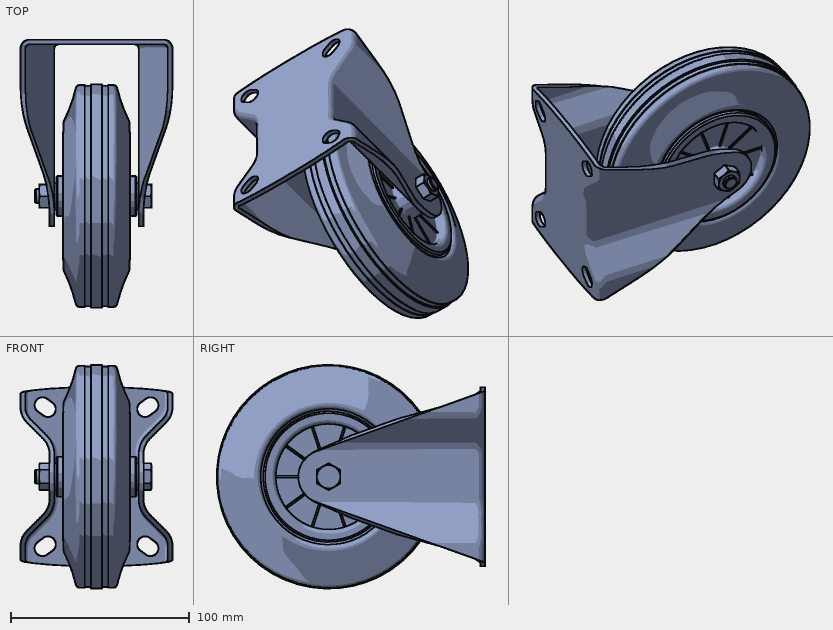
import cadquery as cq
import math


SHEET = 2.7
PLATE_HALF_WIDTH = 42.51
PLATE_HALF_HEIGHT = 50.01
PLATE_FLAT_HALF = 5.0
PLATE_CORNER_X = 36.0
PLATE_CORNER_Z = 48.3
PLATE_BACK_Y = 87.5
FORK_HALF_WIDTH = 26.2
BEND_START_Z = 33.9
WALL_BEND_RADIUS = 12.0
PLATE_BEND_RADIUS = 5.2
TIP_RADIUS = 15.0
TIP_CENTER_Y = -2.0
ARM_TAPER = 19.7
SLOT_WIDTH = 8.7
SLOT_LENGTH = 12.5
SLOT_X = 28.6
SLOT_Z = 38.8
SLOT_ANGLE = 36.0

WHEEL_RADIUS = 62.5
RIB_HALF = 3.0
GROOVE_INNER = 3.3
GROOVE_OUTER = 6.6
SHOULDER_END = 9.5
SHOULDER_DROP = 0.5
GROOVE_DROP = 0.9
HUB_RADIUS = 11.2
HUB_HALF = 22.5
HUB_CHAMFER = 0.7
RIM_HALF = 18.97
RIM_RADIUS = 36.52
RIM_CHAMFER = 1.0
RIM_BORE = 29.47
RIM_ROUND = 2.8
DISC_HALF = 13.5
DISC_ROUND = 0.7
SPOKES = 10
SPOKE_RADIUS = 0.52

SHOULDER_ARC_MIDDLE = (11.0, 61.3)
SIDEWALL_TOP = (11.7, 60.0)
SIDEWALL_MIDDLE = (14.7, 50.1)
SIDEWALL_FOOT = (18.0, 42.5)
LIP_CREST = (18.5, 40.5)
LIP_EDGE = (16.8, 38.0)
RIM_GROOVE_X = 15.9

BOLT_RADIUS = 3.97
BOLT_END = 34.3
BOLT_CHAMFER = 0.6
NUT_FLATS = 13.0
NUT_FACE = 32.1
HEAD_FACE = 30.7
SLEEVE_RADIUS = 6.07
COLLAR_RADIUS = 7.5


def fork_edge_z(y):
    """Height of the tapered straight edge of a fork arm at depth y."""
    taper = math.radians(ARM_TAPER)
    return TIP_RADIUS / math.cos(taper) + (y - TIP_CENTER_Y) * math.tan(taper)


def bent_block():
    """Solid block bounded by the outer faces of the bent sheet."""
    end_z = PLATE_HALF_HEIGHT
    waist_z = BEND_START_Z - (PLATE_HALF_WIDTH - FORK_HALF_WIDTH)
    right = [
        (PLATE_HALF_WIDTH, end_z), (PLATE_HALF_WIDTH, BEND_START_Z), (FORK_HALF_WIDTH, waist_z),
        (FORK_HALF_WIDTH, -waist_z), (PLATE_HALF_WIDTH, -BEND_START_Z), (PLATE_HALF_WIDTH, -end_z),
    ]
    left = [(-x, z) for x, z in reversed(right)]
    block = (
        cq.Workplane("XZ", origin=(0, PLATE_BACK_Y, 0))
        .polyline(right + left).close().extrude(PLATE_BACK_Y - TIP_CENTER_Y + TIP_RADIUS)
    )
    bend_box = cq.selectors.BoxSelector(
        (-PLATE_HALF_WIDTH - 1.5, -PLATE_BACK_Y, -BEND_START_Z - 1.5),
        (PLATE_HALF_WIDTH + 1.5, PLATE_BACK_Y, BEND_START_Z + 1.5),
    )
    block = block.edges("|Y").edges(bend_box).fillet(WALL_BEND_RADIUS)
    return block.faces(">Y").edges("not |X").fillet(PLATE_BEND_RADIUS)


def fork_side_prism():
    """Side outline of the fork: two tapered edges running into a round tip."""
    taper = math.radians(ARM_TAPER)
    tangent_y = TIP_CENTER_Y - TIP_RADIUS * math.sin(taper)
    tangent_z = TIP_RADIUS * math.cos(taper)
    back_z = fork_edge_z(PLATE_BACK_Y)
    return (
        cq.Workplane("YZ").moveTo(PLATE_BACK_Y, -back_z).lineTo(PLATE_BACK_Y, back_z)
        .lineTo(tangent_y, tangent_z)
        .threePointArc((TIP_CENTER_Y - TIP_RADIUS, 0), (tangent_y, -tangent_z))
        .close().extrude(PLATE_HALF_WIDTH + 1.5, both=True)
    )


def bent_sheet():
    """Back strip, bends and both arms, with edges cut square to the sheet."""
    block = bent_block().intersect(fork_side_prism())
    arm_faces = [face for face in block.faces().vals() if abs(face.Center().x) > FORK_HALF_WIDTH / 2]
    skin = cq.Shell.makeShell(arm_faces + block.faces(">Y").vals())
    return cq.Workplane(cq.occ_impl.shapes.offset(skin, -SHEET))


def mounting_plate():
    """Bowed strips that complete the plate along its upper and lower edges."""
    corner_drop = PLATE_HALF_HEIGHT - PLATE_CORNER_Z
    arc_middle_x = (PLATE_FLAT_HALF + PLATE_CORNER_X) / 2
    arc_middle_z = PLATE_HALF_HEIGHT - corner_drop / 4
    bend_x = PLATE_HALF_WIDTH - PLATE_BEND_RADIUS
    bend_z = fork_edge_z(PLATE_BACK_Y)
    quarter = (
        cq.Workplane("XZ", origin=(0, PLATE_BACK_Y, 0)).moveTo(0, bend_z).lineTo(0, PLATE_HALF_HEIGHT)
        .lineTo(PLATE_FLAT_HALF, PLATE_HALF_HEIGHT)
        .threePointArc((arc_middle_x, arc_middle_z), (PLATE_CORNER_X, PLATE_CORNER_Z))
        .lineTo(bend_x, bend_z).close().extrude(SHEET)
    )
    half = quarter.union(quarter.mirror("YZ"))
    return half.union(half.mirror("XY"))


def slot(x_side, z_side):
    """Cutter for one mounting slot, its long axis pointing towards the middle of the plate."""
    return (
        cq.Workplane("XZ", origin=(x_side * SLOT_X, PLATE_BACK_Y, z_side * SLOT_Z))
        .transformed(rotate=(0, 0, x_side * z_side * SLOT_ANGLE))
        .slot2D(SLOT_LENGTH, SLOT_WIDTH).extrude(SHEET)
    )


def x_cylinder(radius, start, end):
    return cq.Workplane("YZ", origin=(start, 0, 0)).circle(radius).extrude(end - start)


def make_bracket():
    bracket = bent_sheet().union(mounting_plate())
    for x_side in (-1, 1):
        for z_side in (-1, 1):
            bracket = bracket.cut(slot(x_side, z_side))
    return bracket.cut(x_cylinder(BOLT_RADIUS, -FORK_HALF_WIDTH, FORK_HALF_WIDTH))


def wheel_half_outline():
    """Right half of the wheel's cross-section as an open wire, from the tread rib to the bore."""
    shoulder = WHEEL_RADIUS - SHOULDER_DROP
    groove = WHEEL_RADIUS - GROOVE_DROP
    return (
        cq.Workplane("XY").moveTo(RIB_HALF, WHEEL_RADIUS).lineTo(GROOVE_INNER, groove)
        .lineTo(GROOVE_OUTER, groove).lineTo(GROOVE_OUTER, shoulder)
        .lineTo(SHOULDER_END, shoulder)
        .threePointArc(SHOULDER_ARC_MIDDLE, SIDEWALL_TOP)
        .threePointArc(SIDEWALL_MIDDLE, SIDEWALL_FOOT)
        .threePointArc(LIP_CREST, LIP_EDGE)
        .lineTo(RIM_GROOVE_X, RIM_RADIUS).lineTo(RIM_HALF - RIM_CHAMFER, RIM_RADIUS)
        .lineTo(RIM_HALF, RIM_RADIUS - RIM_CHAMFER).lineTo(RIM_HALF, RIM_BORE + RIM_ROUND)
        .radiusArc((RIM_HALF - RIM_ROUND, RIM_BORE), RIM_ROUND)
        .lineTo(DISC_HALF + DISC_ROUND, RIM_BORE)
        .radiusArc((DISC_HALF, RIM_BORE - DISC_ROUND), -DISC_ROUND)
        .lineTo(DISC_HALF, HUB_RADIUS + DISC_ROUND)
        .radiusArc((DISC_HALF + DISC_ROUND, HUB_RADIUS), -DISC_ROUND)
        .lineTo(HUB_HALF - HUB_CHAMFER, HUB_RADIUS)
        .lineTo(HUB_HALF, HUB_RADIUS - HUB_CHAMFER).lineTo(HUB_HALF, SLEEVE_RADIUS)
        .wire().val()
    )


def wheel_body():
    """Tyre, rim, disc and hub as one turned shape around X."""
    right = wheel_half_outline()
    left = right.mirror("YZ")
    tread = cq.Edge.makeLine(left.startPoint(), right.startPoint())
    bore = cq.Edge.makeLine(right.endPoint(), left.endPoint())
    outline = cq.Wire.assembleEdges([tread, *right.Edges(), bore, *reversed(left.Edges())])
    return cq.Workplane("XY").newObject([outline]).toPending().revolve(360, (0, 0, 0), (1, 0, 0))


def spokes():
    """Thin half-round spokes standing on the right-hand face of the wheel disc."""
    inner_end = HUB_RADIUS - HUB_CHAMFER
    spoke = (
        cq.Workplane("XZ", origin=(DISC_HALF, RIM_BORE, 0)).circle(SPOKE_RADIUS)
        .extrude(RIM_BORE - inner_end)
    )
    ring = spoke
    for index in range(1, SPOKES):
        ring = ring.union(spoke.rotate((0, 0, 0), (1, 0, 0), index * 360 / SPOKES))
    return ring


def make_wheel():
    right_spokes = spokes()
    return wheel_body().union(right_spokes).union(right_spokes.mirror("YZ"))


def hexagon(start, end):
    """Hexagonal nut or head with corners at +Z and -Z; its corners are rounded off at the end face."""
    across_corners = NUT_FLATS / math.cos(math.radians(30))
    prism = (
        cq.Workplane("YZ", origin=(start, 0, 0)).polygon(6, across_corners).extrude(end - start)
        .rotate((0, 0, 0), (1, 0, 0), 90)
    )
    corner_run = (across_corners - NUT_FLATS) / 2
    outer = cq.selectors.BoxSelector((end - 0.1, -15, -15), (end + 0.1, 15, 15))
    cone = x_cylinder(across_corners / 2, start, end).edges(outer).chamfer(corner_run / 2, corner_run)
    return prism.intersect(cone)


def make_axle():
    bolt = x_cylinder(BOLT_RADIUS, -BOLT_END, HEAD_FACE).faces("<X").chamfer(BOLT_CHAMFER)
    sleeve = x_cylinder(SLEEVE_RADIUS, -HUB_HALF, HUB_HALF)
    axle = bolt.union(sleeve)
    inner_face = FORK_HALF_WIDTH - SHEET
    for start in (-inner_face, HUB_HALF):
        axle = axle.union(x_cylinder(COLLAR_RADIUS, start, start + inner_face - HUB_HALF))
    axle = axle.union(hexagon(-FORK_HALF_WIDTH, -NUT_FACE))
    return axle.union(hexagon(FORK_HALF_WIDTH, HEAD_FACE))


bracket = make_bracket()
wheel = make_wheel()
axle = make_axle()
result = cq.Compound.makeCompound([bracket.val(), wheel.val(), axle.val()])